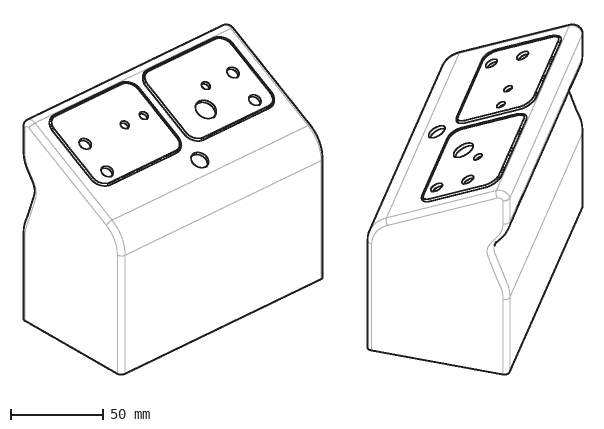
import cadquery as cq
import math

WIDTH = 80.0
LENGTH = 150.0
HEIGHT = 127.71
SLOPE_ANGLE = math.radians(28.5)
NOSE_RADIUS = 20.0
END_FILLET = 3.0

REAR_RADIUS = 5.2
REAR_CENTER_X = 5.1

GRIP_TOP = 106.8
GRIP_BOTTOM = 53.3
GRIP_POINTS = [(4.5, 94.3), (8.95, 86.0), (7.6, 79.9), (2.7, 65.7)]

FRAME_START = 9.4
FRAME_WIDTH = 51.0
FRAME_LENGTH = 64.2
FRAME_RADIUS = 8.0
FRAME_HEIGHT = 1.0
FLANK_ANGLE = 45
FRAME_CENTERS_Y = (-33.85, 34.65)

RECESS_DEPTH = 2.0
LARGE_KEY = 7.0
SMALL_KEY = 5.0
ROUND_BUTTON = 12.0
MIDDLE_LAMP = 10.0
REAR_ROW = 32.5
FRONT_ROW = 52.5
RECESSES = [
    (REAR_ROW, 54.6, LARGE_KEY),
    (FRONT_ROW, 54.6, LARGE_KEY),
    (REAR_ROW, -54.0, LARGE_KEY),
    (FRONT_ROW, -54.0, LARGE_KEY),
    (REAR_ROW, 34.6, SMALL_KEY),
    (REAR_ROW, -11.0, SMALL_KEY),
    (REAR_ROW, -25.0, SMALL_KEY),
    (45.0, 24.6, ROUND_BUTTON),
    (70.0, 0.0, MIDDLE_LAMP),
]

SLOPE_DOWN = cq.Vector(math.cos(SLOPE_ANGLE), 0, -math.sin(SLOPE_ANGLE))
SLOPE_NORMAL = cq.Vector(math.sin(SLOPE_ANGLE), 0, math.cos(SLOPE_ANGLE))

REAR_CENTER_Z = HEIGHT - REAR_RADIUS
REAR_EDGE_Z = REAR_CENTER_Z + math.sqrt(REAR_RADIUS**2 - REAR_CENTER_X**2)
SLOPE_START_X = REAR_CENTER_X + REAR_RADIUS * SLOPE_NORMAL.x
SLOPE_START_Z = REAR_CENTER_Z + REAR_RADIUS * SLOPE_NORMAL.z
CORNER_Z = SLOPE_START_Z + SLOPE_START_X * math.tan(SLOPE_ANGLE)
NOSE_Z = CORNER_Z - WIDTH * math.tan(SLOPE_ANGLE)


def make_body():
    """Extruded side profile with rounded nose and rounded end faces."""
    downward = (0, -1)
    body = (
        cq.Workplane("XZ", origin=(0, LENGTH / 2, 0))
        .lineTo(WIDTH, 0)
        .lineTo(WIDTH, NOSE_Z)
        .lineTo(SLOPE_START_X, SLOPE_START_Z)
        .threePointArc((REAR_CENTER_X, HEIGHT), (0, REAR_EDGE_Z))
        .lineTo(0, GRIP_TOP)
        .spline(
            [*GRIP_POINTS, (0, GRIP_BOTTOM)],
            tangents=[downward, downward],
            includeCurrent=True,
        )
        .close()
        .extrude(LENGTH)
    )
    nose_edge = cq.NearestToPointSelector((WIDTH, 0, NOSE_Z))
    body = body.edges(nose_edge).fillet(NOSE_RADIUS)
    return body.faces("<Y or >Y").edges("not(<Z)").fillet(END_FILLET)


def slope_plane(along, y):
    """Workplane on the sloped face: local X runs down the slope, local Y along the length."""
    origin = cq.Vector(0, y, CORNER_Z) + SLOPE_DOWN * along
    return cq.Workplane(cq.Plane(origin, SLOPE_DOWN, SLOPE_NORMAL))


def frame_outline(y, inset):
    """Rounded rectangle on the slope, inset from the frame outline."""
    plane = slope_plane(FRAME_START + FRAME_WIDTH / 2, y)
    outline = plane.sketch().rect(FRAME_WIDTH - 2 * inset, FRAME_LENGTH - 2 * inset)
    return outline.vertices().fillet(FRAME_RADIUS - inset).finalize()


def make_frame(y):
    """Ridge with a 45 degree outer flank and an upright inner wall."""
    mound = frame_outline(y, 0).extrude(FRAME_HEIGHT, taper=FLANK_ANGLE)
    opening = frame_outline(y, FRAME_HEIGHT).extrude(FRAME_HEIGHT)
    return mound.cut(opening)


def make_recess(along, y, diameter):
    return slope_plane(along, y).circle(diameter / 2).extrude(-RECESS_DEPTH)


result = make_body()
for frame_y in FRAME_CENTERS_Y:
    result = result.union(make_frame(frame_y))
for recess in RECESSES:
    result = result.cut(make_recess(*recess))